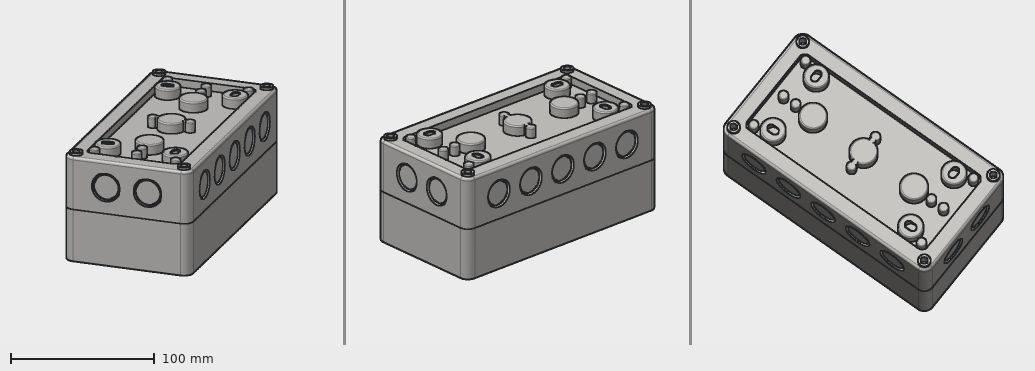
import cadquery as cq
width = 94.0
length = 180.0
total_height = 80.0
foot_projection = 1.8
box_top = total_height - foot_projection
parting_height = 39.0
corner_radius = 7.0
box_edge_fillet = 2.0
lid_edge_fillet = 1.0

recess_width = 69.5
recess_length = 156.6
recess_corner = 4.5
recess_depth = 6.0
recess_floor = box_top - recess_depth

boss_diameter = 9.0
screw_hole_diameter = 5.0
screw_hole_depth = 9.0
boss_x = width / 2 - corner_radius
boss_y = length / 2 - corner_radius

foot_diameter = 18.0
slot_length = 9.0
slot_width = 5.5
slot_depth = 1.0
foot_bore_diameter = 11.0
foot_bore_depth = 9.0
foot_x = 25.0
foot_y = 60.0

pad_diameter = 20.0
pad_y = 44.0
pad_fillet = 0.99

post_diameter = 7.0
post_fillet = 0.7
corner_post_x = 30.0
corner_post_y = 73.0
center_post_ys = (59.0, 69.7)
wing_post_x = 13.9
web_width = 4.7

knockout_diameter = 20.7
groove_depth = 3.0
disc_diameter = 18.0
disc_setback = 1.0
knockout_z = 58.5
side_pitch = 30.0
side_count = 5
end_pitch = 31.0
end_count = 2


def mirrored(x, y):
    """The four points at (+-x, +-y)."""
    return [(sx * x, sy * y) for sx in (-1, 1) for sy in (-1, 1)]


def rounded_block(bottom, top):
    """Block over the full outline between two heights, with rounded upright edges."""
    return (
        cq.Workplane("XY", origin=(0, 0, bottom))
        .rect(width, length)
        .extrude(top - bottom)
        .edges("|Z")
        .fillet(corner_radius)
    )


def raised_discs(points, diameter, rounding):
    """Round-edged discs standing on the recess floor."""
    return (
        cq.Workplane("XY", origin=(0, 0, recess_floor))
        .pushPoints(points)
        .circle(diameter / 2)
        .extrude(total_height - recess_floor)
        .faces(">Z")
        .edges("%CIRCLE")
        .fillet(rounding)
    )


def make_recess():
    return (
        cq.Workplane("XY", origin=(0, 0, recess_floor))
        .rect(recess_width, recess_length)
        .extrude(recess_depth)
        .edges("|Z")
        .fillet(recess_corner)
    )


def make_foot_openings():
    """Slots over round bores; slots run along X in the -X feet and along Y in the +X feet."""
    openings = (
        cq.Workplane("XY", origin=(0, 0, total_height - slot_depth))
        .pushPoints(mirrored(foot_x, foot_y))
        .circle(foot_bore_diameter / 2)
        .extrude(-foot_bore_depth)
    )
    for side, angle in ((-1, 0), (1, 90)):
        for end in (-1, 1):
            openings = openings.union(
                cq.Workplane("XY", origin=(side * foot_x, end * foot_y, total_height))
                .slot2D(slot_length, slot_width, angle)
                .extrude(-slot_depth)
            )
    return openings


def make_center_mount():
    """Middle pad with a post on each side, joined by webs."""
    web = (
        cq.Workplane("XY", origin=(0, 0, recess_floor))
        .rect(2 * wing_post_x, web_width)
        .extrude(total_height - recess_floor)
        .faces(">Z")
        .edges("|X")
        .fillet(post_fillet)
    )
    pad = raised_discs([(0, 0)], pad_diameter, pad_fillet)
    posts = raised_discs([(-wing_post_x, 0), (wing_post_x, 0)], post_diameter, post_fillet)
    return pad.union(posts).union(web)


def make_knockout():
    """Cutter sunk from the XY plane towards -Z, leaving the disc inside the groove."""
    recess = cq.Workplane("XY").circle(knockout_diameter / 2).extrude(-groove_depth)
    disc = (
        cq.Workplane("XY", origin=(0, 0, -groove_depth))
        .circle(disc_diameter / 2)
        .extrude(groove_depth - disc_setback)
    )
    return recess.cut(disc)


def knockout_row(count, pitch, wall_distance):
    """Row of cutters in the wall facing -Y at the given distance."""
    upright = make_knockout().rotate((0, 0, 0), (1, 0, 0), 90)
    row = cq.Workplane("XY")
    for i in range(count):
        offset = (i - (count - 1) / 2) * pitch
        row = row.union(upright.translate((offset, -wall_distance, knockout_z)))
    return row


def make_box():
    box = rounded_block(parting_height, box_top).faces(">Z").edges().fillet(box_edge_fillet)
    box = box.cut(make_recess())

    pads = raised_discs([(0, -pad_y), (0, pad_y)], pad_diameter, pad_fillet)
    feet = raised_discs(mirrored(foot_x, foot_y), foot_diameter, pad_fillet)
    post_points = mirrored(corner_post_x, corner_post_y)
    post_points += [(0, sign * y) for y in center_post_ys for sign in (-1, 1)]
    posts = raised_discs(post_points, post_diameter, post_fillet)
    for feature in (pads, feet, posts, make_center_mount()):
        box = box.union(feature)
    box = box.cut(make_foot_openings())

    boss_points = mirrored(boss_x, boss_y)
    box = box.union(
        cq.Workplane("XY", origin=(0, 0, box_top))
        .pushPoints(boss_points)
        .circle(boss_diameter / 2)
        .extrude(foot_projection)
    )
    box = box.cut(
        cq.Workplane("XY", origin=(0, 0, total_height))
        .pushPoints(boss_points)
        .circle(screw_hole_diameter / 2)
        .extrude(-screw_hole_depth)
    )

    end_row = knockout_row(end_count, end_pitch, length / 2)
    side_row = knockout_row(side_count, side_pitch, width / 2)
    for row, angle in ((end_row, 0), (side_row, 90), (end_row, 180), (side_row, 270)):
        box = box.cut(row.rotate((0, 0, 0), (0, 0, 1), angle))
    return box


def make_lid():
    return rounded_block(0, parting_height).faces("<Z").edges().fillet(lid_edge_fillet)


box = make_box()
lid = make_lid()
result = cq.Compound.makeCompound([box.val(), lid.val()])